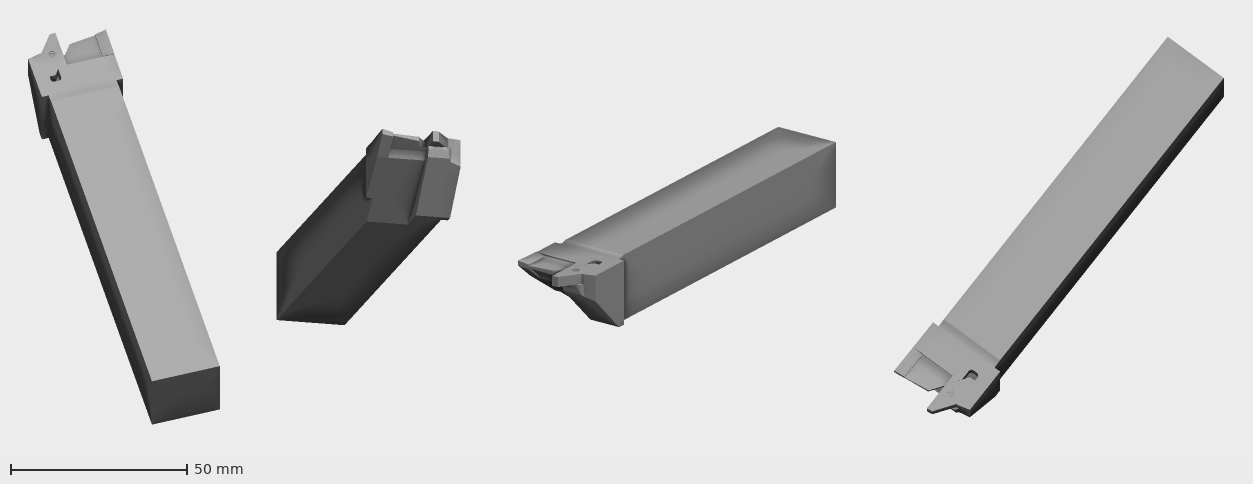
import cadquery as cq
import math


total_length = 128.3
shank_width = 20.0
shank_height = 20.0

head_overhang = 2.0
head_right_y = -head_overhang
head_left_y = shank_width + head_overhang
head_rear_x = 21.2
head_top_z = 19.6
side_relief = 0.15
ramp_start_x = 21.4
ramp_radius = 6.9

split_y = 8.0
seat_front_x = 4.8
seat_relief_z = 15.7
seat_relief_angle = 15.0
underside_foot_x = 18.8
seat_corner_start_y = 2.9
seat_corner_end_x = 6.15
seat_corner_end_y = 1.25
seat_corner_radius = 2.2
side_face_angle = 15.0

blade_tip_x = 3.1
front_skew = 7.7
front_corner_x = 4.6
diagonal_angle = 35.0
diagonal_land_z = 18.0
diagonal_relief_angle = 14.0
underside_slope = 35.0
underside_rear_z = 4.9
flank_slope = 34.5
flank_end_x = 7.55
flank_end_z = 15.6
groove_end_z = 13.4
groove_bulge = 0.1

blade_inner_y = 18.7
blade_land_z = 18.45
blade_side_slope = 11.0
blade_rake = 1.7

pocket_wall_x = 12.0
pocket_fillet_x = 9.45
pocket_floor_z = 18.75
pocket_rake = 2.0
pocket_fillet_end_angle = 21.0

insert_bottom_z = 16.5
insert_top_z = head_top_z - 0.05
insert_right_y = 2.1
insert_rear_x = 14.7
insert_nose_length = 1.8
insert_nose_angle = 7.0
slot_rear_x = 16.9
slot_left_y = 5.2
slot_corner_radius = 1.0
screw_x = 7.4
screw_y = 5.0
screw_head_radius = 1.2
screw_head_depth = 0.15
screw_socket_radius = 0.8
screw_socket_depth = 0.3

overcut = 2.0


def slope(angle):
    """Rise per unit run of a line at the given angle in degrees."""
    return math.tan(math.radians(angle))


def side_prism(profile, y_from, y_to):
    """Extrude a closed XZ profile between two Y positions."""
    wire = cq.Workplane("XZ", origin=(0, y_from, 0)).polyline(profile).close()
    return wire.extrude(y_from - y_to)


def plan_prism(outline, z_from, z_to):
    """Extrude a closed XY outline between two Z positions."""
    return cq.Workplane("XY", origin=(0, 0, z_from)).polyline(outline).close().extrude(z_to - z_from)


front_corner_y = head_left_y - (front_corner_x - blade_tip_x) / slope(front_skew)


def diagonal_y(x):
    return front_corner_y - (x - front_corner_x) * slope(diagonal_angle)


def diagonal_x(y):
    return front_corner_x + (front_corner_y - y) / slope(diagonal_angle)


nose_corner_x = insert_nose_length * slope(insert_nose_angle)
nose_corner_y = split_y - insert_nose_length
insert_foot_x = nose_corner_x + (nose_corner_y - insert_right_y) / slope(diagonal_angle)


def left_underside_x(z):
    """X of the sloped underside of the left half at height z."""
    return head_rear_x - (z - underside_rear_z) / slope(underside_slope)


def make_shank():
    length = total_length - head_rear_x
    shank = cq.Workplane("XY").box(length, shank_width, shank_height, centered=False)
    shank = shank.translate((head_rear_x, 0, 0))

    rise = shank_height - head_top_z
    ramp_length = math.sqrt(2 * ramp_radius * rise - rise**2)
    sweep = math.asin(ramp_length / ramp_radius)
    arc_middle = (
        ramp_start_x + ramp_radius * math.sin(sweep / 2),
        head_top_z + ramp_radius * (1 - math.cos(sweep / 2)),
    )
    ramp = (
        cq.Workplane("XZ")
        .moveTo(head_rear_x, head_top_z)
        .lineTo(ramp_start_x, head_top_z)
        .threePointArc(arc_middle, (ramp_start_x + ramp_length, shank_height))
        .lineTo(head_rear_x, shank_height)
        .close()
        .extrude(-shank_width)
    )
    underside_end_x = left_underside_x(0)
    wedge = side_prism(
        [(head_rear_x, 0), (head_rear_x, underside_rear_z), (underside_end_x, 0)],
        split_y,
        shank_width,
    )
    return shank.cut(ramp).cut(wedge)


def make_right_half():
    relief = slope(seat_relief_angle)
    meet_z = (underside_foot_x - seat_front_x - seat_relief_z * relief) / (1 - relief)
    body = side_prism(
        [
            (seat_front_x, head_top_z),
            (seat_front_x, seat_relief_z),
            (underside_foot_x - meet_z, meet_z),
            (underside_foot_x, 0),
            (head_rear_x, 0),
            (head_rear_x, head_top_z),
        ],
        head_right_y,
        split_y,
    )
    side_face_run = (seat_corner_end_y - head_right_y) * slope(side_face_angle)
    outline = (
        cq.Workplane("XY")
        .moveTo(seat_front_x, split_y)
        .lineTo(seat_front_x, seat_corner_start_y)
        .radiusArc((seat_corner_end_x, seat_corner_end_y), -seat_corner_radius)
        .lineTo(seat_corner_end_x + side_face_run, head_right_y)
        .lineTo(head_rear_x, head_right_y)
        .lineTo(head_rear_x, split_y)
        .close()
        .extrude(head_top_z)
    )
    return body.intersect(outline)


def make_left_half():
    groove_end_x = left_underside_x(groove_end_z)
    groove_middle = (
        (flank_end_x + groove_end_x) / 2 + groove_bulge,
        (flank_end_z + groove_end_z) / 2 + groove_bulge,
    )
    flank_top_x = flank_end_x - (head_top_z - flank_end_z) / slope(flank_slope)
    web = (
        cq.Workplane("XZ", origin=(0, split_y, 0))
        .moveTo(head_rear_x, head_top_z)
        .lineTo(flank_top_x, head_top_z)
        .lineTo(flank_end_x, flank_end_z)
        .threePointArc(groove_middle, (groove_end_x, groove_end_z))
        .lineTo(head_rear_x, underside_rear_z)
        .close()
        .extrude(split_y - blade_inner_y)
    )

    blade = side_prism(
        [
            (blade_tip_x, shank_height),
            (blade_tip_x, blade_land_z),
            (groove_end_x, groove_end_z),
            (head_rear_x, underside_rear_z),
            (head_rear_x, head_top_z),
            (pocket_wall_x, head_top_z),
            (pocket_wall_x, shank_height - (pocket_wall_x - blade_tip_x) * slope(blade_rake)),
        ],
        blade_inner_y,
        head_left_y,
    )
    side_fall = (head_left_y - blade_inner_y) * slope(blade_side_slope)
    blade_rake_cut = (
        cq.Workplane("YZ")
        .polyline(
            [
                (head_left_y, shank_height),
                (blade_inner_y, shank_height - side_fall),
                (blade_inner_y, shank_height),
            ]
        )
        .close()
        .extrude(pocket_wall_x)
        .rotate((blade_tip_x, 0, shank_height), (blade_tip_x, 1, shank_height), blade_rake)
    )

    outline = plan_prism(
        [
            (blade_tip_x, head_left_y),
            (blade_tip_x + (head_left_y - split_y) * slope(front_skew), split_y),
            (head_rear_x, split_y),
            (head_rear_x, head_left_y - (head_rear_x - blade_tip_x) * slope(side_relief)),
        ],
        0,
        shank_height,
    )
    return web.union(blade.cut(blade_rake_cut)).intersect(outline)


def make_diagonal_cut():
    """Opening above the insert seat level, bounded by the relieved diagonal face."""
    angle = math.radians(diagonal_angle)
    plane = cq.Plane(
        origin=(front_corner_x, front_corner_y, 0),
        xDir=(-math.sin(angle), -math.cos(angle), 0),
        normal=(-math.cos(angle), math.sin(angle), 0),
    )
    relief_depth = (diagonal_land_z - insert_bottom_z) * slope(diagonal_relief_angle)
    reach = front_corner_y - split_y
    length = (front_corner_y - split_y) / math.sin(angle) + overcut
    return (
        cq.Workplane(plane)
        .polyline(
            [
                (0, shank_height),
                (0, diagonal_land_z),
                (-relief_depth, insert_bottom_z),
                (reach, insert_bottom_z),
                (reach, shank_height),
            ]
        )
        .close()
        .extrude(-length)
    )


def make_chip_pocket():
    """Raked floor that curves up into the wall behind it."""
    sweep_start = -math.radians(pocket_rake)
    sweep_end = math.radians(pocket_fillet_end_angle)
    run = pocket_wall_x - pocket_fillet_x
    radius = run / (math.sin(sweep_end) - math.sin(sweep_start))

    def fillet_point(angle):
        return (
            pocket_fillet_x + radius * (math.sin(angle) - math.sin(sweep_start)),
            pocket_floor_z + radius * (math.cos(sweep_start) - math.cos(angle)),
        )

    top_z = head_top_z + overcut
    return (
        cq.Workplane("XZ", origin=(0, split_y, 0))
        .moveTo(0, pocket_floor_z + pocket_fillet_x * slope(pocket_rake))
        .lineTo(pocket_fillet_x, pocket_floor_z)
        .threePointArc(fillet_point((sweep_start + sweep_end) / 2), fillet_point(sweep_end))
        .lineTo(pocket_wall_x, top_z)
        .lineTo(0, top_z)
        .close()
        .extrude(split_y - blade_inner_y)
    )


def make_insert():
    return plan_prism(
        [
            (0, split_y),
            (diagonal_x(split_y), split_y),
            (insert_rear_x, diagonal_y(insert_rear_x)),
            (insert_rear_x, insert_right_y),
            (insert_foot_x, insert_right_y),
            (nose_corner_x, nose_corner_y),
        ],
        insert_bottom_z,
        insert_top_z,
    )


def make_screw_recess():
    top = cq.Workplane("XY", origin=(screw_x, screw_y, insert_top_z))
    return top.circle(screw_head_radius).extrude(-screw_head_depth).union(
        top.circle(screw_socket_radius).extrude(-screw_socket_depth)
    )


def make_insert_slot():
    """Seat under the insert, open at the front and rounded at the rear."""
    height = head_top_z - insert_bottom_z
    channel = (
        cq.Workplane("XY", origin=(0, insert_right_y, insert_bottom_z))
        .box(slot_rear_x, slot_left_y - insert_right_y, height, centered=False)
        .edges("|Z and >X")
        .fillet(slot_corner_radius)
    )
    seat = plan_prism(
        [
            (0, seat_corner_end_y),
            (insert_foot_x, seat_corner_end_y),
            (insert_foot_x, insert_right_y),
            (insert_rear_x, insert_right_y),
            (insert_rear_x, diagonal_y(insert_rear_x)),
            (diagonal_x(split_y), split_y),
            (0, split_y),
        ],
        insert_bottom_z,
        head_top_z,
    )
    return channel.union(seat)


right_half = make_right_half().cut(make_insert_slot())
left_half = make_left_half().cut(make_diagonal_cut()).cut(make_chip_pocket())
head = right_half.union(left_half)
result = make_shank().union(head).union(make_insert()).cut(make_screw_recess())